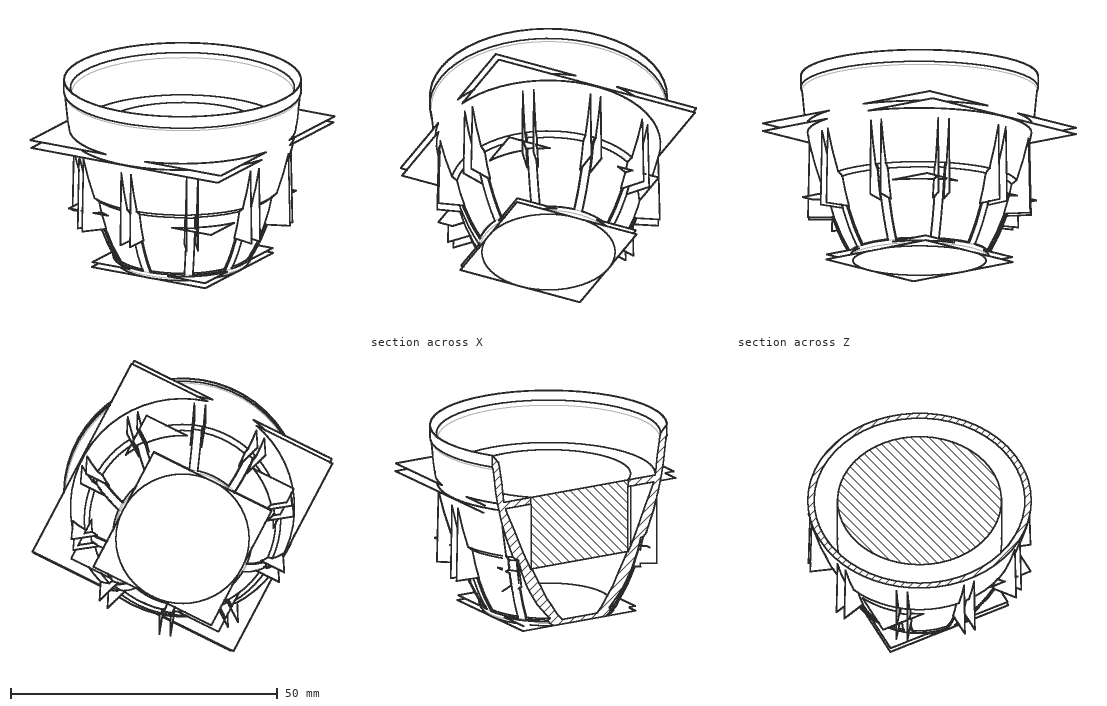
import cadquery as cq

height = 35.55
rim_radius = 22.25
rim_band_bottom = 33.3
neck_radius = 22.05
neck_height = 32.8
funnel_radius = 21.0
funnel_height = 34.0
rim_edge = 0.08

belly_radius = 20.3
belly_height = 21.4
shoulder_radius = 18.4
shoulder_height = 14.9
recess_top_radius = 17.45
recess_top_height = 14.1
recess_mid_radius = 16.0
recess_mid_height = 8.5
recess_bottom_radius = 12.85
recess_bottom_height = 1.6
foot_radius = 13.1
foot_height = 1.35
base_radius = 12.45
base_bevel_radius = 12.9
base_bevel_height = 0.65

floor_thickness = 1.0
bowl_top_radius = 20.8
bowl_top_height = 33.1
bowl_floor_radius = 20.0
ledge_top = 26.0
ledge_thickness = 1.4
ledge_bottom = ledge_top - ledge_thickness
ledge_bottom_radius = 19.7
plug_radius = 15.4
plug_bottom = 11.95
lower_cavity_top_radius = 15.2
lower_cavity_bottom_radius = 11.7

sheet = 0.05
ledge_flange = 41.6
rib_flange_x = 40.7
rib_flange_y = 42.3
shelf_flange = 31.0
floor_flange = 24.6
base_flange = 24.8
shelf_bottom = plug_bottom - sheet

rib_count = 10
rib_step = 360 / rib_count
rib_width = 1.6
rib_depth = 0.35
fin_half_gap = 1.05
fin_bottom = 8.6
fin_top = ledge_bottom
fin_outer = 20.9
fin_inner = 13.5
fin_tilt = 1.2


def revolve(profile):
    return profile.close().revolve(360, (0, 0, 0), (0, 1, 0))


def outer_form():
    """The filled outside shape of the cup."""
    return revolve(
        cq.Workplane("XZ")
        .lineTo(base_radius, 0)
        .lineTo(base_bevel_radius, base_bevel_height)
        .lineTo(foot_radius, foot_height)
        .lineTo(recess_bottom_radius, recess_bottom_height)
        .threePointArc((recess_mid_radius, recess_mid_height), (recess_top_radius, recess_top_height))
        .lineTo(shoulder_radius, shoulder_height)
        .threePointArc((belly_radius, belly_height), (neck_radius, neck_height))
        .lineTo(rim_radius, rim_band_bottom)
        .lineTo(rim_radius, height)
        .lineTo(0, height)
    )


def rib_form():
    """The ring that the ribs are cut from, proud of the recessed band."""
    return revolve(
        cq.Workplane("XZ")
        .moveTo(0, foot_height)
        .lineTo(foot_radius, foot_height)
        .threePointArc(
            (recess_mid_radius + rib_depth, recess_mid_height),
            (recess_top_radius + rib_depth, recess_top_height),
        )
        .lineTo(shoulder_radius, shoulder_height)
        .lineTo(0, shoulder_height)
    )


def ribs():
    """Ribs up the recessed band, one of them facing -Y."""
    bars = cq.Workplane("XY")
    for i in range(rib_count):
        bar = cq.Workplane("XY").box(rib_width, rim_radius, height, centered=(True, False, False))
        bars = bars.add(bar.rotate((0, 0, 0), (0, 0, 1), i * rib_step))
    return rib_form().intersect(bars.combine())


def fin(side):
    """One thin upright sheet beside the +Y rib; side is -1 or +1."""
    plate = cq.Workplane("XY").box(
        sheet, fin_outer - fin_inner, fin_top - fin_bottom, centered=(True, False, False)
    )
    plate = plate.translate((side * fin_half_gap, fin_inner, fin_bottom))
    corner = (0, fin_outer, fin_bottom)
    return plate.rotate(corner, (1, fin_outer, fin_bottom), fin_tilt)


def flange(size_x, size_y, bottom):
    """A thin horizontal rectangle centred on the axis."""
    plate = cq.Workplane("XY").box(size_x, size_y, sheet, centered=(True, True, False))
    return plate.translate((0, 0, bottom))


def bowl():
    """The open space above the ledge."""
    return revolve(
        cq.Workplane("XZ")
        .moveTo(0, ledge_top)
        .lineTo(bowl_floor_radius, ledge_top)
        .lineTo(bowl_top_radius, bowl_top_height)
        .lineTo(funnel_radius, funnel_height)
        .lineTo(rim_radius - rim_edge, height)
        .lineTo(0, height)
    )


def cone_space(bottom, bottom_radius, top, top_radius):
    return revolve(
        cq.Workplane("XZ")
        .moveTo(0, bottom)
        .lineTo(bottom_radius, bottom)
        .lineTo(top_radius, top)
        .lineTo(0, top)
    )


def make_plug():
    """Round plug that stands on the shelf, flush with the ledge."""
    return cq.Workplane("XY", origin=(0, 0, plug_bottom)).circle(plug_radius).extrude(ledge_top - plug_bottom)


def make_cup():
    """Ribbed cup with its fins, flanges, ledge and shelf."""
    body = outer_form().union(ribs())
    for i in range(rib_count):
        for side in (-1, 1):
            body = body.union(fin(side).rotate((0, 0, 0), (0, 0, 1), i * rib_step))
    body = body.union(flange(ledge_flange, ledge_flange, ledge_top - sheet))
    body = body.union(flange(rib_flange_x, rib_flange_y, ledge_bottom))
    body = body.union(flange(shelf_flange, shelf_flange, shelf_bottom))
    body = body.union(flange(floor_flange, floor_flange, floor_thickness - sheet))
    body = body.union(flange(base_flange, base_flange, 0))
    body = body.cut(bowl())
    body = body.cut(make_plug())
    body = body.cut(cone_space(plug_bottom, plug_radius, ledge_bottom, ledge_bottom_radius))
    lower_space = cone_space(
        floor_thickness, lower_cavity_bottom_radius, shelf_bottom, lower_cavity_top_radius
    )
    return body.cut(lower_space)


cup = make_cup()
plug = make_plug()

result = cq.Compound.makeCompound([cup.val(), plug.val()])